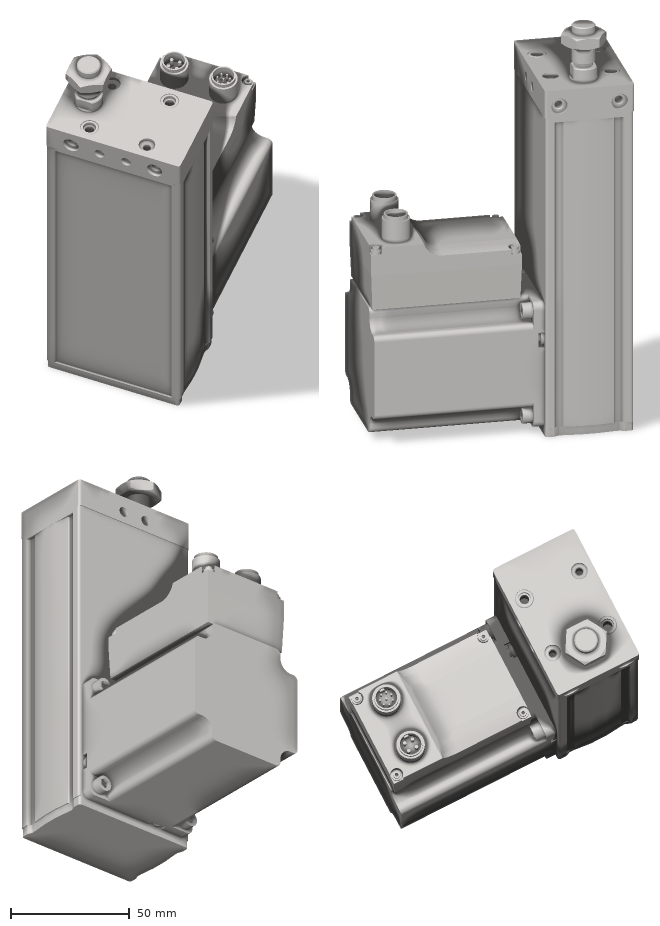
import cadquery as cq
import math

TOTAL_HEIGHT = 181.0
TOTAL_DEPTH = 111.8
WIDTH = 60.7
DEPTH = 38.7

CAP_HEIGHT = 4.0
CAP_SIDE_INSET = 0.5
FACE_INSET = 0.4
EDGE_RADIUS = 1.1
TUBE_TOP = 142.1
TUBE_FRONT = FACE_INSET
TUBE_BACK = DEPTH - FACE_INSET
RAIL_WIDTH = 3.7
GROOVE_WIDTH = 4.5
GROOVE_DEPTH = 1.5
GROOVE_RAIL_SLOPE = 1.1
GROOVE_BULGE_SLOPE = 0.6
CAP_GROOVE_DEPTH = 0.9
CAP_GROOVE_RAIL_SLOPE = 2.2
CAP_GROOVE_BULGE_SLOPE = 2.1
BULGE_EDGE_INSET = 0.8
PANEL_HALF_WIDTH = 26.5
PANEL_DEPTH = 0.9
PANEL_SLOPE = 0.5

HEAD_TOP = 156.5
LIP_TOP = 144.2
MOUNT_Z = 149.3
MOUNT_SPACING = 26.0
FRONT_MOUNT_X = 18.9
CROSS_HOLE_X = 6.0
CROSS_HOLE_DIAMETER = 4.5
CENTRING_DIAMETER = 7.0
CENTRING_DEPTH = 1.6
THREAD_DIAMETER = 4.0
TAP_DIAMETER = 3.24
THREAD_DEPTH = 8.0
DRILL_POINT_ANGLE = 118.0
SLEEVE_DIAMETER = 8.0
SLEEVE_BORE = 5.5
SLEEVE_HEIGHT = 1.6
SLEEVE_CHAMFER = 0.4

AXIS_Y = DEPTH / 2
ROD_X = -18.5
ROD_DIAMETER = 12.0
ROD_SHOULDER = 162.6
ROD_SHOULDER_CHAMFER = 0.4
FLAT_BOTTOM = 157.3
FLAT_SPACING = 10.0
NECK_DIAMETER = 8.0
ROD_THREAD_DIAMETER = 10.0
ROD_THREAD_BOTTOM = 164.6
ROD_TIP_DIAMETER = 9.02
NUT_BOTTOM = 172.3
NUT_HEIGHT = 5.0
NUT_ACROSS_FLATS = 17.0
NUT_CHAMFER_ANGLE = 30.0

MOTOR_SIZE = 56.4
MOTOR_Z = 31.9
FLANGE_BACK = 43.0
FLANGE_RADIUS = 3.0
BODY_EDGE_RADIUS = 2.3
BODY_LEDGE = 2.2
BODY_COVE_SIZE = 4.9
BODY_COVE_SAG = 1.2
MOTOR_BOLT_SPACING = 47.14
MOTOR_BOLT_HEAD = 7.0
MOTOR_BOLT_HEAD_HEIGHT = 4.3
MOTOR_BOLT_SOCKET = 4.0
MOTOR_BOLT_SOCKET_DEPTH = 2.0
NOTCH_OFFSET = 11.4
NOTCH_WIDTH = 7.0
NOTCH_DEPTH = 3.2
NOTCH_LENGTH = 2.7
NOTCH_SCREW_DIAMETER = 6.35
NOTCH_SCREW_STEP = 1.4

COVER_WIDTH = 41.8
COVER_FRONT = 46.4
COVER_BACK = 111.5
COVER_PARTING = 75.6
COVER_DRAFT = 2.2
COVER_TOP = 88.2
DECK_TOP = 83.3
DECK_EDGE = 82.4
DECK_FLAT_HALF_WIDTH = 10.7
SCOOP_TOP_Y = 88.6
SCOOP_START_Y = 80.9
SCOOP_RADIUS = 7.1
SCOOP_SLOPE_RUN = 2.4
COVER_SCREW_X = 18.3
COVER_SCREW_INSET = 2.6
COVER_RECESS_DIAMETER = 5.5
COVER_RECESS_DEPTH = 3.3
COVER_SCREW_HEAD = 4.4
COVER_OPENING_OFFSET = 1.9
COVER_SCREW_SHOULDER = 1.5
COVER_SCREW_CROWN = 3.0
COVER_SCREW_HEIGHT = 2.8
COVER_SCREW_SOCKET = 1.5

CONNECTOR_X = 11.15
CONNECTOR_Y = 98.65
CONNECTOR_DIAMETER = 12.0
CONNECTOR_SHOULDER = 97.5
CONNECTOR_RIM_DIAMETER = 10.3
CONNECTOR_TOP = 99.4
CONNECTOR_BORE = 9.02
CONNECTOR_BORE_DEPTH = 6.0
CONTACT_HEIGHT = 4.0
KEY_WIDTH = 2.0
KEY_LENGTH = 0.8
POWER_CONTACT_DIAMETER = 1.5
POWER_CONTACT_RADIUS = 2.6
SIGNAL_CONTACT_DIAMETER = 0.8
SIGNAL_CONTACT_RADIUS = 2.75
SIGNAL_RING_COUNT = 7


def box(x_range, y_range, z_range):
    """Axis-aligned block between the given limits."""
    size = [high - low for low, high in (x_range, y_range, z_range)]
    corner = (x_range[0], y_range[0], z_range[0])
    return cq.Workplane("XY").box(*size, centered=False).translate(corner)


def cylinder(diameter, height, base, direction=(0, 0, 1)):
    """Cylinder starting at the base point and running along the direction."""
    solid = cq.Solid.makeCylinder(diameter / 2, height, cq.Vector(*base), cq.Vector(*direction))
    return cq.Workplane(obj=solid)


def mounting_hole(point, direction):
    """Cutter for a centring counterbore with a threaded blind hole below it."""
    point_depth = TAP_DIAMETER / 2 / math.tan(math.radians(DRILL_POINT_ANGLE / 2))
    thread_end = CENTRING_DEPTH + (THREAD_DIAMETER - TAP_DIAMETER) / 2
    half_section = (
        cq.Workplane("XZ")
        .moveTo(0, 0)
        .lineTo(CENTRING_DIAMETER / 2, 0)
        .lineTo(CENTRING_DIAMETER / 2, -CENTRING_DEPTH)
        .lineTo(THREAD_DIAMETER / 2, -CENTRING_DEPTH)
        .lineTo(TAP_DIAMETER / 2, -thread_end)
        .lineTo(TAP_DIAMETER / 2, -THREAD_DEPTH)
        .lineTo(0, -THREAD_DEPTH - point_depth)
        .close()
    )
    cutter = half_section.revolve(360, (0, 0, 0), (0, 1, 0)).val()
    outward = cq.Vector(*direction).multiply(-1)
    placement = cq.Plane(origin=point, xDir=(direction[1], direction[2], direction[0]), normal=outward)
    return cq.Workplane(obj=cutter.moved(cq.Location(placement)))


def profile_outline(half_width, groove_depth, rail_slope, bulge_slope):
    """Closed housing outline: straight front and back, grooved and bulging sides."""
    groove_start = TUBE_FRONT + RAIL_WIDTH
    groove_end = groove_start + GROOVE_WIDTH
    floor_x = half_width - groove_depth
    bulge_x = half_width - BULGE_EDGE_INSET
    groove = [
        (half_width, groove_start),
        (floor_x, groove_start + rail_slope),
        (floor_x, groove_end - bulge_slope),
        (bulge_x, groove_end),
    ]
    far_groove = [(x, 2 * AXIS_Y - y) for x, y in reversed(groove)]

    def mirrored(points):
        return [(-x, y) for x, y in reversed(points)]

    return (
        cq.Workplane("XY")
        .polyline([(-half_width, TUBE_FRONT), (half_width, TUBE_FRONT), *groove])
        .threePointArc((half_width, AXIS_Y), far_groove[0])
        .polyline(
            [*far_groove[1:], (half_width, TUBE_BACK), (-half_width, TUBE_BACK), *mirrored(far_groove)],
            includeCurrent=True,
        )
        .threePointArc((-half_width, AXIS_Y), (-bulge_x, groove_end))
        .polyline(mirrored(groove)[1:], includeCurrent=True)
        .close()
    )


def round_outer_corners(body, half_width):
    """Round the four upright corner edges of a profile body."""
    reach = 0.1
    for x in (-half_width, half_width):
        for y in (TUBE_FRONT, TUBE_BACK):
            near = cq.selectors.BoxSelector(
                (x - reach, y - reach, 0),
                (x + reach, y + reach, TOTAL_HEIGHT),
            )
            body = body.edges("|Z").edges(near).fillet(EDGE_RADIUS)
    return body


def build_end_cap():
    half_width = WIDTH / 2 - CAP_SIDE_INSET
    cap = profile_outline(half_width, CAP_GROOVE_DEPTH, CAP_GROOVE_RAIL_SLOPE, CAP_GROOVE_BULGE_SLOPE)
    return round_outer_corners(cap.extrude(CAP_HEIGHT), half_width)


def build_tube():
    half_width = WIDTH / 2
    length = TUBE_TOP - CAP_HEIGHT
    tube = profile_outline(half_width, GROOVE_DEPTH, GROOVE_RAIL_SLOPE, GROOVE_BULGE_SLOPE)
    tube = round_outer_corners(tube.extrude(length), half_width)
    floor_half_width = PANEL_HALF_WIDTH - PANEL_SLOPE
    panel_recess = (
        cq.Workplane("XY")
        .moveTo(-PANEL_HALF_WIDTH, TUBE_FRONT)
        .lineTo(PANEL_HALF_WIDTH, TUBE_FRONT)
        .lineTo(floor_half_width, TUBE_FRONT + PANEL_DEPTH)
        .lineTo(-floor_half_width, TUBE_FRONT + PANEL_DEPTH)
        .close()
        .extrude(length)
    )
    return tube.cut(panel_recess).translate((0, 0, CAP_HEIGHT))


def top_mounts():
    """Plain mounting holes and sleeve seats, on opposite diagonals of one square."""
    half = MOUNT_SPACING / 2
    plain = [(-half, AXIS_Y + half), (half, AXIS_Y - half)]
    sleeved = [(half, AXIS_Y + half), (-half, AXIS_Y - half)]
    return plain, sleeved


def build_head():
    half_width = WIDTH / 2
    block = box((-half_width, half_width), (0, DEPTH), (LIP_TOP, HEAD_TOP)).edges("|Z").fillet(EDGE_RADIUS)
    lip = box((-half_width, half_width), (TUBE_FRONT, TUBE_BACK), (TUBE_TOP, LIP_TOP))
    head = block.union(lip.edges("|Z").fillet(EDGE_RADIUS))

    head = head.cut(cylinder(ROD_DIAMETER, HEAD_TOP - TUBE_TOP, (ROD_X, AXIS_Y, TUBE_TOP)))
    for x in (-CROSS_HOLE_X, CROSS_HOLE_X):
        head = head.cut(cylinder(CROSS_HOLE_DIAMETER, DEPTH, (x, 0, MOUNT_Z), (0, 1, 0)))
    for x in (-FRONT_MOUNT_X, FRONT_MOUNT_X):
        head = head.cut(mounting_hole((x, 0, MOUNT_Z), (0, 1, 0)))
    for y in (AXIS_Y - MOUNT_SPACING / 2, AXIS_Y + MOUNT_SPACING / 2):
        head = head.cut(mounting_hole((-half_width, y, MOUNT_Z), (1, 0, 0)))

    plain, sleeved = top_mounts()
    for x, y in plain:
        head = head.cut(mounting_hole((x, y, HEAD_TOP), (0, 0, -1)))
    for x, y in sleeved:
        seat_z = HEAD_TOP - SLEEVE_HEIGHT
        head = head.cut(cylinder(SLEEVE_DIAMETER, SLEEVE_HEIGHT, (x, y, seat_z)))
        head = head.cut(cylinder(THREAD_DIAMETER, THREAD_DEPTH, (x, y, seat_z), (0, 0, -1)))
    return head


def build_sleeve(x, y):
    base = (x, y, HEAD_TOP - SLEEVE_HEIGHT)
    ring = cylinder(SLEEVE_DIAMETER, SLEEVE_HEIGHT, base).faces(">Z").edges().chamfer(SLEEVE_CHAMFER)
    return ring.cut(cylinder(SLEEVE_BORE, SLEEVE_HEIGHT, base))


def build_rod():
    def section(diameter, bottom, top):
        return cylinder(diameter, top - bottom, (ROD_X, AXIS_Y, bottom))

    rod = section(ROD_DIAMETER, TUBE_TOP, ROD_SHOULDER).faces(">Z").edges().chamfer(ROD_SHOULDER_CHAMFER)
    for side in (-1, 1):
        near = AXIS_Y + side * FLAT_SPACING / 2
        far = AXIS_Y + side * ROD_DIAMETER
        x_range = (ROD_X - ROD_DIAMETER, ROD_X + ROD_DIAMETER)
        rod = rod.cut(box(x_range, sorted((near, far)), (FLAT_BOTTOM, ROD_SHOULDER)))
    neck = section(NECK_DIAMETER, ROD_SHOULDER, ROD_THREAD_BOTTOM)
    tip_chamfer = (ROD_THREAD_DIAMETER - ROD_TIP_DIAMETER) / 2
    thread = section(ROD_THREAD_DIAMETER, ROD_THREAD_BOTTOM, TOTAL_HEIGHT)
    return rod.union(neck).union(thread.faces(">Z").edges().chamfer(tip_chamfer))


def build_nut():
    across_corners = NUT_ACROSS_FLATS / math.cos(math.pi / 6)
    hexagon = (
        cq.Workplane("XY")
        .polygon(6, across_corners)
        .extrude(NUT_HEIGHT)
        .rotate((0, 0, 0), (0, 0, 1), 90)
    )
    corner_overhang = (across_corners - NUT_ACROSS_FLATS) / 2
    corner_drop = corner_overhang * math.tan(math.radians(NUT_CHAMFER_ANGLE))
    chamfer_envelope = (
        cq.Workplane("XY")
        .circle(across_corners / 2)
        .extrude(NUT_HEIGHT)
        .edges()
        .chamfer(corner_drop, corner_overhang)
    )
    nut = hexagon.intersect(chamfer_envelope).cut(cylinder(ROD_THREAD_DIAMETER, NUT_HEIGHT, (0, 0, 0)))
    return nut.translate((ROD_X, AXIS_Y, NUT_BOTTOM))


def build_motor_frame():
    """Square flange and the finned body behind it, with coved corners."""
    half = MOTOR_SIZE / 2
    z_range = (MOTOR_Z - half, MOTOR_Z + half)
    flange = box((-half, half), (TUBE_BACK, FLANGE_BACK), z_range).edges("|Y").fillet(FLANGE_RADIUS)

    body_length = TOTAL_DEPTH - FLANGE_BACK
    ledge_outer = half - BODY_EDGE_RADIUS
    ledge_inner = ledge_outer - BODY_LEDGE
    ledge_level = ledge_inner - BODY_COVE_SIZE
    face_end = ledge_level - BODY_EDGE_RADIUS
    cove_middle = (ledge_inner + ledge_level) / 2 - BODY_COVE_SAG * math.sin(math.pi / 4)
    round_middle = BODY_EDGE_RADIUS * math.sin(math.pi / 4)
    corner_cutter = (
        cq.Workplane("XZ")
        .moveTo(half, face_end)
        .threePointArc(
            (ledge_outer + round_middle, face_end + round_middle),
            (ledge_outer, ledge_level),
        )
        .lineTo(ledge_inner, ledge_level)
        .threePointArc((cove_middle, cove_middle), (ledge_level, ledge_inner))
        .lineTo(ledge_level, ledge_outer)
        .threePointArc(
            (face_end + round_middle, ledge_outer + round_middle),
            (face_end, half),
        )
        .lineTo(half, half)
        .close()
        .extrude(-body_length)
        .translate((0, FLANGE_BACK, 0))
    )
    body = box((-half, half), (FLANGE_BACK, TOTAL_DEPTH), (-half, half))
    for turn in range(4):
        body = body.cut(corner_cutter.rotate((0, 0, 0), (0, 1, 0), 90 * turn))
    return flange.union(body.translate((0, 0, MOTOR_Z)))


def add_motor_bolts(motor):
    """Four socket-head bolts standing on the back of the flange."""
    offset = MOTOR_BOLT_SPACING / 2
    for x in (-offset, offset):
        for z in (MOTOR_Z - offset, MOTOR_Z + offset):
            head = cylinder(MOTOR_BOLT_HEAD, MOTOR_BOLT_HEAD_HEIGHT, (x, FLANGE_BACK, z), (0, 1, 0))
            socket = (
                cq.Workplane("XZ")
                .polygon(6, MOTOR_BOLT_SOCKET, circumscribed=True)
                .extrude(MOTOR_BOLT_SOCKET_DEPTH)
                .translate((x, FLANGE_BACK + MOTOR_BOLT_HEAD_HEIGHT, z))
            )
            motor = motor.union(head.cut(socket))
    return motor


def turned_about_motor_axis(shape, quarter_turns):
    return shape.rotate((0, 0, 0), (0, 1, 0), -90 * quarter_turns).translate((0, 0, MOTOR_Z))


def add_flange_notches(motor):
    """One side notch per flange edge, each holding a stepped screw head."""
    half = MOTOR_SIZE / 2
    notch_end = TUBE_BACK + NOTCH_LENGTH
    x_range = (NOTCH_OFFSET - NOTCH_WIDTH / 2, NOTCH_OFFSET + NOTCH_WIDTH / 2)
    notch = box(x_range, (TUBE_BACK, notch_end), (half - NOTCH_DEPTH, half))
    screw_base = (NOTCH_OFFSET, TUBE_BACK, half - NOTCH_SCREW_DIAMETER / 2)
    screw = cylinder(NOTCH_SCREW_DIAMETER, NOTCH_SCREW_STEP, screw_base, (0, 1, 0))
    shank = cylinder(THREAD_DIAMETER, NOTCH_LENGTH, screw_base, (0, 1, 0))
    stepped_screw = screw.union(shank)
    for turn in range(4):
        motor = motor.cut(turned_about_motor_axis(notch, turn))
        motor = motor.union(turned_about_motor_axis(stepped_screw, turn))
    return motor


def build_cover():
    half_width = COVER_WIDTH / 2
    length = COVER_BACK - COVER_FRONT
    motor_top = MOTOR_Z + MOTOR_SIZE / 2
    lower = (
        cq.Workplane("XY", origin=(0, (COVER_FRONT + COVER_BACK) / 2, COVER_PARTING))
        .rect(COVER_WIDTH, length)
        .extrude(motor_top - COVER_PARTING, taper=COVER_DRAFT)
    )

    upper = box((-half_width, half_width), (COVER_FRONT, COVER_BACK), (COVER_PARTING, COVER_TOP))

    fall = DECK_TOP - DECK_EDGE
    side_run = half_width - DECK_FLAT_HALF_WIDTH
    crown_radius = (side_run**2 + fall**2) / (2 * fall)
    middle_angle = math.asin(side_run / crown_radius) / 2
    middle_x = DECK_FLAT_HALF_WIDTH + crown_radius * math.sin(middle_angle)
    middle_z = DECK_TOP - crown_radius * (1 - math.cos(middle_angle))
    scoop_axis_z = DECK_TOP + SCOOP_RADIUS

    def space_above_deck():
        """Section above the crowned deck, up to the axis about which the scoop curves."""
        return (
            cq.Workplane("XZ", origin=(0, SCOOP_START_Y, 0))
            .moveTo(-half_width, scoop_axis_z)
            .lineTo(-half_width, DECK_EDGE)
            .threePointArc((-middle_x, middle_z), (-DECK_FLAT_HALF_WIDTH, DECK_TOP))
            .lineTo(DECK_FLAT_HALF_WIDTH, DECK_TOP)
            .threePointArc((middle_x, middle_z), (half_width, DECK_EDGE))
            .lineTo(half_width, scoop_axis_z)
            .close()
        )

    deck_cut = space_above_deck().extrude(SCOOP_START_Y - COVER_FRONT)
    scoop_cut = space_above_deck().revolve(90, (-1, scoop_axis_z, 0), (1, scoop_axis_z, 0))
    slope_cut = (
        cq.Workplane("YZ")
        .moveTo(SCOOP_TOP_Y, COVER_TOP)
        .lineTo(SCOOP_TOP_Y - SCOOP_SLOPE_RUN, COVER_TOP - SCOOP_SLOPE_RUN)
        .lineTo(SCOOP_TOP_Y - SCOOP_SLOPE_RUN, COVER_TOP)
        .close()
        .extrude(half_width, both=True)
    )
    cover = lower.union(upper.cut(deck_cut).cut(scoop_cut).cut(slope_cut))

    corners = [
        (COVER_FRONT + COVER_SCREW_INSET, COVER_FRONT, DECK_TOP),
        (COVER_BACK - COVER_SCREW_INSET, COVER_BACK, COVER_TOP),
    ]
    for side in (-half_width, half_width):
        for y, end, top in corners:
            cover = add_cover_screw(cover, side, y, end, top)
    return cover


def add_cover_screw(cover, side, y, end, top):
    """Corner recess, open to both outer walls, with a small socket screw on its floor."""
    x = math.copysign(COVER_SCREW_X, side)
    floor = (x, y, top - COVER_RECESS_DEPTH)
    inner_y = y - math.copysign(COVER_OPENING_OFFSET, end - y)
    z_range = (floor[2], top)
    opening = box(sorted((x, side)), sorted((inner_y, end)), z_range)
    recess = cylinder(COVER_RECESS_DIAMETER, COVER_RECESS_DEPTH, floor)
    screw = cylinder(COVER_SCREW_HEAD, COVER_SCREW_SHOULDER, floor)
    screw = screw.union(cylinder(COVER_SCREW_CROWN, COVER_SCREW_HEIGHT, floor))
    socket = cylinder(COVER_SCREW_SOCKET, COVER_SCREW_HEIGHT, floor)
    return cover.cut(recess).cut(opening).union(screw.cut(socket))


def ring_points(count, radius, first_angle):
    angles = [first_angle + 2 * math.pi * i / count for i in range(count)]
    return [(radius * math.cos(a), radius * math.sin(a)) for a in angles]


def build_connector(x, contact_points, contact_diameter):
    """Round plug connector with a stepped rim, a key and its contacts."""
    bore_floor = CONNECTOR_TOP - CONNECTOR_BORE_DEPTH
    shell = cylinder(CONNECTOR_DIAMETER, CONNECTOR_SHOULDER - COVER_TOP, (0, 0, COVER_TOP))
    rim = cylinder(CONNECTOR_RIM_DIAMETER, CONNECTOR_TOP - CONNECTOR_SHOULDER, (0, 0, CONNECTOR_SHOULDER))
    bore = cylinder(CONNECTOR_BORE, CONNECTOR_BORE_DEPTH, (0, 0, bore_floor))
    key_tip = CONNECTOR_BORE / 2 - KEY_LENGTH
    key_root = (CONNECTOR_BORE + CONNECTOR_RIM_DIAMETER) / 4
    key_top = bore_floor + CONTACT_HEIGHT
    key = box((key_tip, key_root), (-KEY_WIDTH / 2, KEY_WIDTH / 2), (bore_floor, key_top))
    connector = shell.union(rim).cut(bore).union(key)
    for px, py in contact_points:
        connector = connector.union(cylinder(contact_diameter, CONTACT_HEIGHT, (px, py, bore_floor)))
    return connector.translate((x, CONNECTOR_Y, 0))


def build_motor():
    motor = add_flange_notches(add_motor_bolts(build_motor_frame())).union(build_cover())
    power_contacts = ring_points(4, POWER_CONTACT_RADIUS, math.pi / 4)
    signal_contacts = [(0, 0)] + ring_points(SIGNAL_RING_COUNT, SIGNAL_CONTACT_RADIUS, math.pi)
    motor = motor.union(build_connector(-CONNECTOR_X, power_contacts, POWER_CONTACT_DIAMETER))
    return motor.union(build_connector(CONNECTOR_X, signal_contacts, SIGNAL_CONTACT_DIAMETER))


end_cap = build_end_cap()
tube = build_tube()
head = build_head()
rod = build_rod()
nut = build_nut()
motor = build_motor()
sleeves = [build_sleeve(x, y) for x, y in top_mounts()[1]]

result = cq.Compound.makeCompound(
    [
        end_cap.val(),
        tube.val(),
        head.val(),
        rod.val(),
        nut.val(),
        motor.val(),
        *[sleeve.val() for sleeve in sleeves],
    ]
)